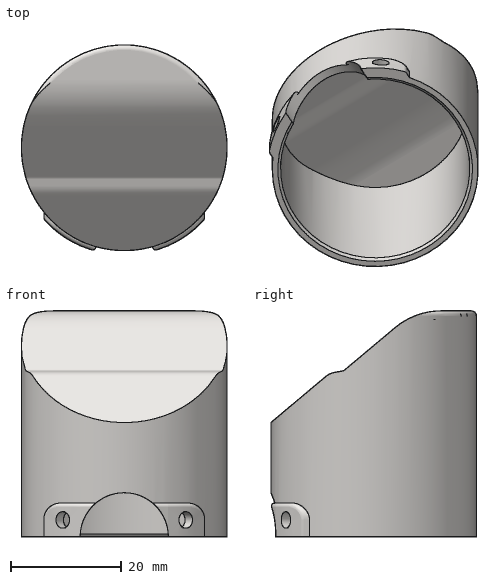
import cadquery as cq
import math

height = 41.05
outer_diameter = 37.4
outer_radius = outer_diameter / 2
wall = 1.5
bore_radius = outer_radius - wall
mouth_chamfer = 0.5
rim_fillet = 1.0

slope_angle = math.radians(40)
step_angle = math.radians(10)
crest_y = 7.5
step_inner_y = -5.45
step_outer_y = -8.0
crest_fillet = 13.0
step_inner_fillet = 1.03
step_outer_fillet = 3.4

arch_radius = 8.0

pad_thickness = 0.82
pad_radius = outer_radius + pad_thickness
pad_root_radius = outer_radius - wall / 2
pad_height = 6.1
pad_side_x = 14.62
pad_corner_fillet = 3.0
pad_edge_fillet = 0.8
flat_end_x = 4.1
flat_angle = math.radians(20)
hole_diameter = 3.0
hole_z = pad_height / 2
hole_angle = 35.0


def front_point(x, radius):
    """Point at the given X on the front half of a circle about the Z axis."""
    return (x, -math.sqrt(radius ** 2 - x ** 2))


def inset_corner(y, z, angle_above, angle_below, inset):
    """Shift a profile corner inwards so both lines meeting there move in by the inset."""
    mean_angle = (angle_above + angle_below) / 2
    shift = inset / math.cos((angle_above - angle_below) / 2)
    return (y + shift * math.sin(mean_angle), z - shift * math.cos(mean_angle))


def make_envelope(inset):
    """Wide block under the stepped slope, lowered everywhere by the inset."""
    step_inner_z = height - (crest_y - step_inner_y) * math.tan(slope_angle)
    step_outer_z = step_inner_z - (step_inner_y - step_outer_y) * math.tan(step_angle)
    crest = inset_corner(crest_y, height, 0, slope_angle, inset)
    step_inner = inset_corner(step_inner_y, step_inner_z, slope_angle, step_angle, inset)
    step_outer = inset_corner(step_outer_y, step_outer_z, step_angle, slope_angle, inset)
    reach = outer_radius + wall
    front_z = step_outer[1] - (step_outer[0] + reach) * math.tan(slope_angle)
    envelope = (
        cq.Workplane("YZ")
        .moveTo(reach, 0)
        .lineTo(reach, height - inset)
        .lineTo(*crest)
        .lineTo(*step_inner)
        .lineTo(*step_outer)
        .lineTo(-reach, front_z)
        .lineTo(-reach, 0)
        .close()
        .extrude(reach, both=True)
    )
    rounded_corners = [
        (crest, crest_fillet - inset),
        (step_inner, step_inner_fillet + inset),
        (step_outer, step_outer_fillet - inset),
    ]
    for corner, radius in rounded_corners:
        edge = cq.selectors.NearestToPointSelector((0, *corner))
        envelope = envelope.edges(edge).fillet(radius)
    return envelope


def make_body():
    """Round post with a rounded top rim, trimmed by the stepped slope."""
    post = cq.Workplane("XY").circle(outer_radius).extrude(height)
    post = post.faces(">Z").edges().fillet(rim_fillet)
    return post.intersect(make_envelope(0))


def make_cavity():
    """Bore open at the bottom with a chamfered mouth; its roof follows the slope at wall thickness."""
    bore = cq.Workplane("XY").circle(bore_radius).extrude(height)
    cavity = bore.intersect(make_envelope(wall))
    flare = cq.Workplane("XY").circle(bore_radius + mouth_chamfer)
    flare = flare.workplane(offset=mouth_chamfer).circle(bore_radius).loft()
    return cavity.union(flare)


def make_pad():
    """Right-hand pad: a thin arc block with a flat facet towards the arch."""
    side_outer = front_point(pad_side_x, pad_radius)
    side_root = front_point(pad_side_x, pad_root_radius)
    flat_start = front_point(arch_radius, pad_radius)
    flat_end = (flat_end_x, flat_start[1] - (arch_radius - flat_end_x) * math.tan(flat_angle))
    flat_root = front_point(flat_end_x, pad_root_radius)
    middle_x = (pad_side_x + arch_radius) / 2
    pad = (
        cq.Workplane("XY")
        .moveTo(*side_root)
        .lineTo(*side_outer)
        .threePointArc(front_point(middle_x, pad_radius), flat_start)
        .lineTo(*flat_end)
        .lineTo(*flat_root)
        .threePointArc(front_point(middle_x, pad_root_radius), side_root)
        .close()
        .extrude(pad_height)
    )
    face_outline = (
        cq.Workplane("XZ")
        .rect(2 * pad_side_x, 2 * pad_height)
        .extrude(2 * pad_radius)
        .edges("|Y")
        .fillet(pad_corner_fillet)
    )
    pad = pad.intersect(face_outline)
    arc_edge_x = (pad_side_x - pad_corner_fillet + arch_radius) / 2
    arc_edge = cq.selectors.NearestToPointSelector((*front_point(arc_edge_x, pad_radius), pad_height))
    flat_edge_x = (arch_radius + flat_end_x) / 2
    flat_edge_y = (flat_start[1] + flat_end[1]) / 2
    flat_edge = cq.selectors.NearestToPointSelector((flat_edge_x, flat_edge_y, pad_height))
    return pad.edges(arc_edge + flat_edge).fillet(pad_edge_fillet)


def make_hole():
    """Radial hole through the right-hand pad and the wall behind it."""
    start = bore_radius - 2 * wall
    length = pad_radius + wall - start
    return (
        cq.Workplane("XZ", origin=(0, -start, hole_z))
        .circle(hole_diameter / 2)
        .extrude(length)
        .rotate((0, 0, 0), (0, 0, 1), hole_angle)
    )


pad = make_pad()
hole = make_hole()
arch = cq.Workplane("XZ").circle(arch_radius).extrude(pad_radius + wall)

result = make_body().union(pad).union(pad.mirror("YZ"))
result = result.cut(make_cavity()).cut(arch)
result = result.cut(hole).cut(hole.mirror("YZ"))